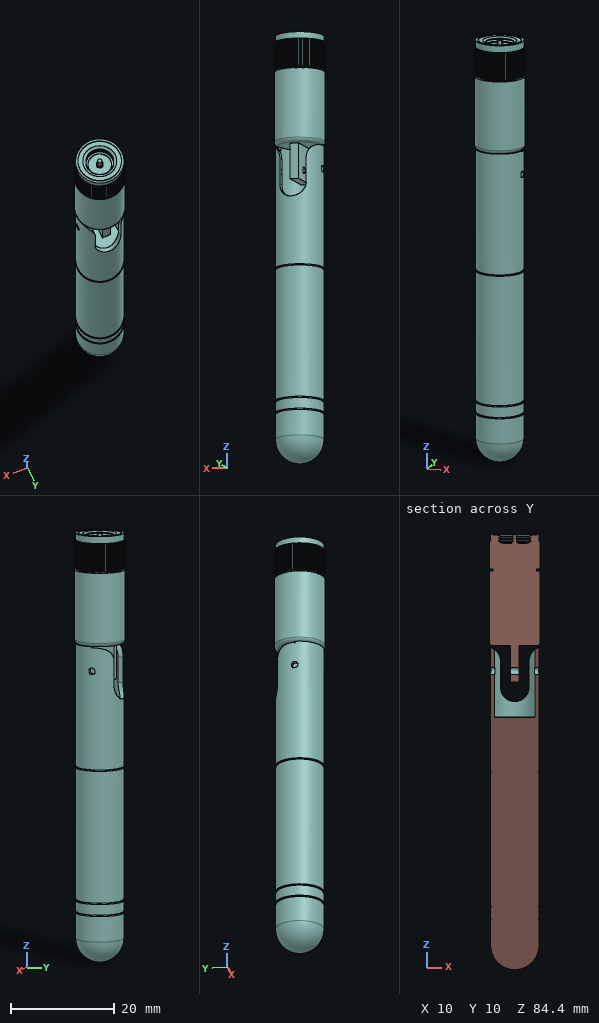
import cadquery as cq
import math

LENGTH = 84.4
HEAD_RADIUS = 5.0
TAIL_RADIUS = 4.7

HEAD_BOTTOM_Z = 62.7
SLEEVE_TOP_Z = 77.2
KNURL_BOTTOM_Z = 77.55
KNURL_TOP_Z = 83.0
RELIEF_RADIUS = 4.3
SLEEVE_FILLET = 0.8

KNURL_COUNT = 72
KNURL_DEPTH = 0.2
KNURL_GROOVE_SHARE = 0.5

FACE_RECESS_RADIUS = 4.2
FACE_RECESS_DEPTH = 0.2
SOCKET_MOUTH_RADIUS = 3.3
SOCKET_MOUTH_DEPTH = 0.25
THREAD_CREST_RADIUS = 2.7
THREAD_CREST_WIDTH = 0.1
THREAD_DEPTH = 0.4
THREAD_PITCH = 0.6
THREAD_GROOVES = 2
SOCKET_FLOOR_RADIUS = 2.3
SOCKET_FLOOR_STEP = 0.2
SOCKET_FLOOR_Z = 82.5

CONTACT_RADIUS = 0.4
CONTACT_TOP_Z = 84.3
CONTACT_COLLAR_RADIUS = 0.7
CONTACT_COLLAR_HEIGHT = 0.3

TANG_WIDTH = 6.3
TANG_THICKNESS = 1.7
TANG_BOTTOM_Z = 55.7

BORE_RADIUS = 3.9
BORE_BOTTOM_Z = 48.95
WINDOW_WIDTH = 5.4
WINDOW_BOTTOM_Z = 52.0
WINDOW_CORNER_RADIUS = 3.0

CROSS_HOLE_RADIUS = 0.63
CROSS_HOLE_Z = 57.9

RING_CENTERS_Z = (38.4, 12.2, 9.9)
RING_WIDTH = 0.25
RING_DEPTH = 0.1


def disc(radius, bottom_z, top_z):
    return cq.Workplane("XY").workplane(offset=bottom_z).circle(radius).extrude(top_z - bottom_z)


def cross_hole():
    return (
        cq.Workplane("YZ")
        .center(0, CROSS_HOLE_Z)
        .circle(CROSS_HOLE_RADIUS)
        .extrude(HEAD_RADIUS, both=True)
    )


def knurl():
    """Straight-knurled band: V grooves alternating with flat-topped teeth."""
    pitch = 2 * math.pi / KNURL_COUNT
    root_radius = HEAD_RADIUS - KNURL_DEPTH
    outline = []
    for tooth in range(KNURL_COUNT):
        start = tooth * pitch
        for share, radius in (
            (0, HEAD_RADIUS),
            (1 - KNURL_GROOVE_SHARE, HEAD_RADIUS),
            (1 - KNURL_GROOVE_SHARE / 2, root_radius),
        ):
            angle = start + share * pitch
            outline.append((radius * math.cos(angle), radius * math.sin(angle)))
    band = cq.Workplane("XY").workplane(offset=KNURL_BOTTOM_Z).polyline(outline).close()
    return band.extrude(KNURL_TOP_Z - KNURL_BOTTOM_Z)


def socket():
    """Turned recess: shallow face recess, conical mouth, ring grooves in place of a helical thread,
    and a small step at the floor."""
    face_z = LENGTH - FACE_RECESS_DEPTH
    mouth_z = face_z - SOCKET_MOUTH_DEPTH
    ledge_z = SOCKET_FLOOR_Z + SOCKET_FLOOR_STEP
    profile = [
        (0, LENGTH),
        (FACE_RECESS_RADIUS, LENGTH),
        (FACE_RECESS_RADIUS, face_z),
        (SOCKET_MOUTH_RADIUS, face_z),
        (THREAD_CREST_RADIUS, mouth_z),
    ]
    for groove in range(THREAD_GROOVES):
        groove_top_z = mouth_z - groove * THREAD_PITCH - THREAD_CREST_WIDTH
        groove_bottom_z = mouth_z - (groove + 1) * THREAD_PITCH
        profile += [
            (THREAD_CREST_RADIUS, groove_top_z),
            (THREAD_CREST_RADIUS + THREAD_DEPTH, (groove_top_z + groove_bottom_z) / 2),
            (THREAD_CREST_RADIUS, groove_bottom_z),
        ]
    profile += [
        (THREAD_CREST_RADIUS, ledge_z),
        (SOCKET_FLOOR_RADIUS, ledge_z),
        (SOCKET_FLOOR_RADIUS, SOCKET_FLOOR_Z),
        (0, SOCKET_FLOOR_Z),
    ]
    return cq.Workplane("XZ").polyline(profile).close().revolve(360, (0, 0), (0, 1))


def contact():
    collar = disc(CONTACT_COLLAR_RADIUS, SOCKET_FLOOR_Z, SOCKET_FLOOR_Z + CONTACT_COLLAR_HEIGHT)
    return collar.union(disc(CONTACT_RADIUS, SOCKET_FLOOR_Z, CONTACT_TOP_Z))


def tang():
    plate = cq.Workplane("XY").workplane(offset=TANG_BOTTOM_Z).rect(TANG_THICKNESS, TANG_WIDTH)
    return plate.extrude(HEAD_BOTTOM_Z - TANG_BOTTOM_Z).cut(cross_hole())


def make_head():
    sleeve = disc(HEAD_RADIUS, HEAD_BOTTOM_Z, SLEEVE_TOP_Z).faces("<Z").edges().fillet(SLEEVE_FILLET)
    relief = disc(RELIEF_RADIUS, SLEEVE_TOP_Z, KNURL_BOTTOM_Z)
    collar = disc(TAIL_RADIUS, KNURL_TOP_Z, LENGTH)
    cap = sleeve.union(relief).union(knurl()).union(collar)
    return cap.cut(socket()).union(contact()).union(tang())


def window():
    """Slot with a round lower end, open at the top where its corners flare out."""
    half_width = WINDOW_WIDTH / 2
    end_z = WINDOW_BOTTOM_Z + half_width
    corner_z = HEAD_BOTTOM_Z - WINDOW_CORNER_RADIUS
    flare_x = half_width + WINDOW_CORNER_RADIUS
    mid_offset = WINDOW_CORNER_RADIUS * math.sqrt(0.5)
    return (
        cq.Workplane("XZ")
        .moveTo(-half_width, end_z)
        .threePointArc((0, WINDOW_BOTTOM_Z), (half_width, end_z))
        .lineTo(half_width, corner_z)
        .threePointArc((flare_x - mid_offset, corner_z + mid_offset), (flare_x, HEAD_BOTTOM_Z))
        .lineTo(-flare_x, HEAD_BOTTOM_Z)
        .threePointArc((mid_offset - flare_x, corner_z + mid_offset), (-half_width, corner_z))
        .close()
        .extrude(-TAIL_RADIUS)
    )


def ring(center_z):
    bottom_z = center_z - RING_WIDTH / 2
    top_z = center_z + RING_WIDTH / 2
    return disc(TAIL_RADIUS, bottom_z, top_z).cut(disc(TAIL_RADIUS - RING_DEPTH, bottom_z, top_z))


def make_tail():
    tail = disc(TAIL_RADIUS, TAIL_RADIUS, HEAD_BOTTOM_Z)
    tail = tail.union(cq.Workplane("XY").sphere(TAIL_RADIUS).translate((0, 0, TAIL_RADIUS)))
    tail = tail.cut(disc(BORE_RADIUS, BORE_BOTTOM_Z, HEAD_BOTTOM_Z))
    tail = tail.cut(window()).cut(cross_hole())
    for center_z in RING_CENTERS_Z:
        tail = tail.cut(ring(center_z))
    return tail


head = make_head()
tail = make_tail()

result = cq.Compound.makeCompound([head.solids().val(), tail.solids().val()])